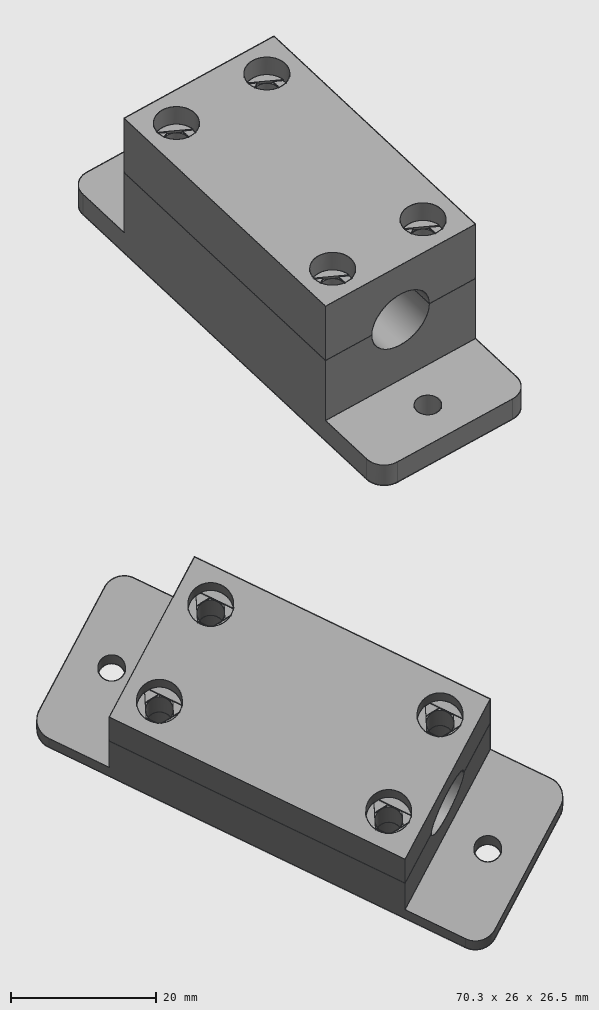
import cadquery as cq

length = 70.3
width = 26.0
height = 26.5

foot_thickness = 4.0
foot_corner_radius = 3.0
foot_hole_spacing = 58.0

block_length = 45.6
split_height = 15.8
cap_height = height - split_height
bore_diameter = 10.0

screw_diameter = 3.8
screw_spacing_x = 35.35
screw_spacing_y = 15.7
counterbore_diameter = 6.3
counterbore_depth = 3.45

step_depth = 0.2
triangle_depth = counterbore_depth + step_depth
hexagon_depth = triangle_depth + step_depth

triangle_rotation = -90
hexagon_rotation = 30

screw_points = [
    (sx * screw_spacing_x / 2, sy * screw_spacing_y / 2)
    for sx in (-1, 1)
    for sy in (-1, 1)
]


def bore():
    """Lengthwise cylinder centred on the split plane."""
    return (
        cq.Workplane("YZ")
        .center(0, split_height)
        .circle(bore_diameter / 2)
        .extrude(length / 2, both=True)
    )


def screw_holes():
    """Plain through holes at the four screw positions."""
    return cq.Workplane("XY").pushPoints(screw_points).circle(screw_diameter / 2).extrude(height)


def tangent_prism(sides, rotation, depth):
    """Regular prism whose sides touch the screw hole, reaching depth below the origin."""
    return (
        cq.Workplane("XY")
        .transformed(rotate=(0, 0, rotation))
        .polygon(sides, screw_diameter, circumscribed=True)
        .extrude(-depth)
    )


def counterbore():
    """Stepped counterbore going down from the origin."""
    seat = cq.Workplane("XY").circle(counterbore_diameter / 2).extrude(-counterbore_depth)
    reach = cq.Workplane("XY").circle(counterbore_diameter / 2).extrude(-triangle_depth)
    triangle = tangent_prism(3, triangle_rotation, triangle_depth).intersect(reach)
    hexagon = tangent_prism(6, hexagon_rotation, hexagon_depth)
    return seat.union(triangle).union(hexagon)


def make_base():
    """Foot plate with the lower half of the block."""
    foot = (
        cq.Workplane("XY")
        .rect(length, width)
        .extrude(foot_thickness)
        .edges("|Z")
        .fillet(foot_corner_radius)
    )
    block = cq.Workplane("XY").rect(block_length, width).extrude(split_height)
    foot_holes = (
        cq.Workplane("XY")
        .rarray(foot_hole_spacing, 0.7, 2, 1)
        .circle(screw_diameter / 2)
        .extrude(foot_thickness)
    )
    return foot.union(block).cut(foot_holes).cut(screw_holes()).cut(bore())


def make_cap():
    """Upper half of the block, with the counterbored screw holes."""
    cap = (
        cq.Workplane("XY")
        .workplane(offset=split_height)
        .rect(block_length, width)
        .extrude(cap_height)
        .cut(screw_holes())
        .cut(bore())
    )
    for x, y in screw_points:
        cap = cap.cut(counterbore().translate((x, y, height)))
    return cap


base = make_base()
cap = make_cap()

result = cq.Compound.makeCompound([base.val(), cap.val()])